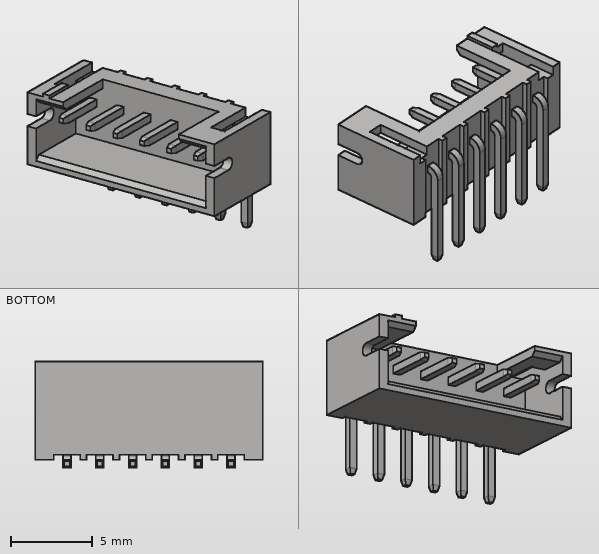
import cadquery as cq
import math


width = 13.9
depth = 6.0
height = 4.8
side_wall = 0.64
back_wall = 1.75
floor = 0.7
roof = 0.6
mouth_chamfer = 0.3
inner_width = width - 2 * side_wall
back_inside = depth - back_wall

pin_count = 6
pitch = 2.0
pin_size = 0.5
pin_axis_z = 3.1
pin_setback = 0.82
leg_drop = 3.4
bend_radius = 0.75
inner_bend_radius = bend_radius - pin_size
tip_length = 0.36
tip_size = 0.3
pin_places = [(i - (pin_count - 1) / 2) * pitch for i in range(pin_count)]

window_width = 8.6
roof_bridge = 2.0
slot_inner_x = 5.31
slot_outer_x = inner_width / 2
latch_height = 0.8
latch_depth = 1.9
latch_z = 2.95

tooth_width = 0.4
recess_width = pitch - tooth_width
recess_depth = 0.3

rib_width = 0.49
rib_height = 0.2


def block(x, y, z):
    """Box spanning the given (low, high) pairs."""
    size = (x[1] - x[0], y[1] - y[0], z[1] - z[0])
    return cq.Workplane("XY").box(*size, centered=False).translate((x[0], y[0], z[0]))


def cavity():
    """Inside space, flared at the mouth towards the floor and the roof."""
    ceiling = height - roof
    profile = [
        (0, floor - mouth_chamfer),
        (mouth_chamfer, floor),
        (back_inside, floor),
        (back_inside, ceiling),
        (mouth_chamfer, ceiling),
        (0, ceiling + mouth_chamfer),
    ]
    return cq.Workplane("YZ").polyline(profile).close().extrude(inner_width / 2, both=True)


def latch_notches():
    """Round-ended notch running in from the front of both side walls."""
    radius = latch_height / 2
    straight = latch_depth - radius
    return (
        cq.Workplane("YZ")
        .moveTo(0, latch_z - radius)
        .lineTo(straight, latch_z - radius)
        .threePointArc((latch_depth, latch_z), (straight, latch_z + radius))
        .lineTo(0, latch_z + radius)
        .close()
        .extrude(width / 2, both=True)
    )


def housing():
    half = width / 2
    body = block((-half, half), (0, depth), (0, height))
    body = body.cut(cavity()).cut(latch_notches())

    half_window = window_width / 2
    roof_span = (height - roof, height)
    body = body.cut(block((-half_window, half_window), (0, back_inside), roof_span))

    for x in [(-slot_outer_x, -slot_inner_x), (slot_inner_x, slot_outer_x)]:
        body = body.cut(block(x, (roof_bridge, depth), roof_span))

    for place in pin_places:
        x = (place - recess_width / 2, place + recess_width / 2)
        body = body.cut(block(x, (depth - recess_depth, depth), (0, height)))

    rib_x = (-slot_inner_x - rib_width, -slot_inner_x)
    return body.union(block(rib_x, (0, roof_bridge), (height, height + rib_height)))


def tip(plane):
    """Square tapered pin end growing along the plane's normal."""
    return (
        cq.Workplane(plane)
        .rect(pin_size, pin_size)
        .workplane(offset=tip_length)
        .rect(tip_size, tip_size)
        .loft(combine=True)
    )


def pin():
    """Pin at X = 0: a contact towards the front, bent down into a leg behind the housing."""
    top = pin_axis_z + pin_size / 2
    bottom = top - pin_size
    leg_back = depth + pin_size
    bend_y = leg_back - bend_radius
    bend_z = top - bend_radius
    contact_end = pin_setback + tip_length
    leg_end = tip_length - leg_drop
    diagonal = math.sqrt(0.5)
    outer_mid = (bend_y + bend_radius * diagonal, bend_z + bend_radius * diagonal)
    inner_mid = (bend_y + inner_bend_radius * diagonal, bend_z + inner_bend_radius * diagonal)
    bar = (
        cq.Workplane("YZ")
        .moveTo(contact_end, bottom)
        .lineTo(contact_end, top)
        .lineTo(bend_y, top)
        .threePointArc(outer_mid, (leg_back, bend_z))
        .lineTo(leg_back, leg_end)
        .lineTo(depth, leg_end)
        .lineTo(depth, bend_z)
        .threePointArc(inner_mid, (bend_y, bottom))
        .close()
        .extrude(pin_size / 2, both=True)
    )
    contact_tip = tip(cq.Plane((0, contact_end, pin_axis_z), (1, 0, 0), (0, -1, 0)))
    leg_tip = tip(cq.Plane((0, depth + pin_size / 2, leg_end), (1, 0, 0), (0, 0, -1)))
    return bar.union(contact_tip).union(leg_tip)


result = housing()
for place in pin_places:
    result = result.union(pin().translate((place, 0, 0)))